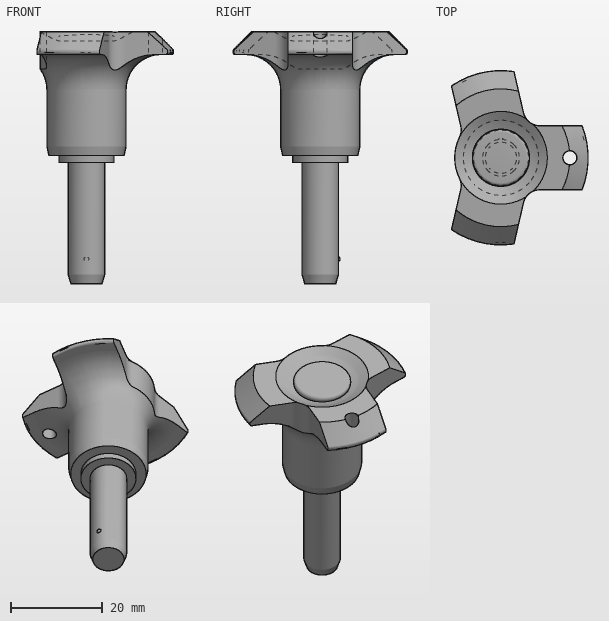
import math

import cadquery as cq


pin_radius = 4.0
pin_length = 26.4
tip_radius = 3.4
tip_height = 2.0
ball_radius = 0.55
ball_projection = 0.35
ball_height_above_tip = 5.4

collar_radius = 6.0
collar_height = 1.5
body_radius = 8.65
body_base_radius = 8.2
body_base_taper = 2.0
handle_height = 27.0
flare_radius = 7.6

arm_reach = 19.0
arm_half_width = 7.0
arm_thickness = 5.0
arm_spread = 103.0
arm_angles = (0.0, arm_spread, -arm_spread)
arm_bevel = 4.0
bevel_angle = 45.0
rim_fillet = 0.5
hub_radius = 10.1
valley_fillet = 3.6
lanyard_hole_diameter = 3.0
lanyard_hole_offset = 15.0

dish_radius = hub_radius
dish_cone_radius = 8.0
dish_cone_depth = 1.2
button_radius = 6.25
button_edge_roundness = 0.75
button_foot_angle = -30.0
button_edge_depth = 0.85
button_dome = 0.25

top_z = collar_height + handle_height
arm_bottom_z = top_z - arm_thickness
flare_bottom_z = arm_bottom_z - flare_radius
tip_z = -pin_length


def polar(radius, angle):
    """Point in the XY plane at a radius and an angle in degrees."""
    return radius * math.cos(math.radians(angle)), radius * math.sin(math.radians(angle))


def on_arc(center, radius, angle):
    """Point on a circle about a given center, at an angle in degrees."""
    dx, dy = polar(radius, angle)
    return center[0] + dx, center[1] + dy


def revolve_about_axis(profile):
    """Turn a closed radius/height profile on the XZ plane about the Z axis."""
    return profile.revolve(360, (0, 0), (0, 1))


def make_pin():
    pin = revolve_about_axis(
        cq.Workplane("XZ")
        .moveTo(0, tip_z)
        .lineTo(tip_radius, tip_z)
        .lineTo(pin_radius, tip_z + tip_height)
        .lineTo(pin_radius, 0)
        .lineTo(collar_radius, 0)
        .lineTo(collar_radius, collar_height)
        .lineTo(0, collar_height)
        .close()
    )
    ball_y = pin_radius + ball_projection - ball_radius
    ball = cq.Workplane("XY").sphere(ball_radius).translate((0, ball_y, tip_z + ball_height_above_tip))
    return pin.union(ball)


def make_body():
    return revolve_about_axis(
        cq.Workplane("XZ")
        .moveTo(0, collar_height)
        .lineTo(body_base_radius, collar_height)
        .lineTo(body_radius, collar_height + body_base_taper)
        .lineTo(body_radius, flare_bottom_z)
        .lineTo(0, flare_bottom_z)
        .close()
    )


def make_head_blank():
    """Round head: a flare widening to a thin plate, with a rounded rim and a bevelled edge."""
    flare_center = (body_radius + flare_radius, flare_bottom_z)
    rim_center_r = arm_reach - rim_fillet
    lower_center = (rim_center_r, arm_bottom_z + rim_fillet)
    bevel_foot_z = top_z - arm_bevel
    upper_center = (rim_center_r, bevel_foot_z - rim_fillet * math.tan(math.radians(bevel_angle / 2)))
    return revolve_about_axis(
        cq.Workplane("XZ")
        .moveTo(0, flare_bottom_z)
        .lineTo(body_radius, flare_bottom_z)
        .threePointArc(on_arc(flare_center, flare_radius, 135), on_arc(flare_center, flare_radius, 90))
        .lineTo(rim_center_r, arm_bottom_z)
        .threePointArc(on_arc(lower_center, rim_fillet, -45), on_arc(lower_center, rim_fillet, 0))
        .lineTo(*on_arc(upper_center, rim_fillet, 0))
        .threePointArc(
            on_arc(upper_center, rim_fillet, bevel_angle / 2),
            on_arc(upper_center, rim_fillet, bevel_angle),
        )
        .lineTo(arm_reach - arm_bevel / math.tan(math.radians(bevel_angle)), top_z)
        .lineTo(0, top_z)
        .close()
    )


def fillet_upright_edge(solid, point):
    """Round the upright edge that passes through an XY point."""
    margin = valley_fillet / 10
    low = (point[0] - margin, point[1] - margin, flare_bottom_z)
    high = (point[0] + margin, point[1] + margin, top_z)
    return solid.edges("|Z").edges(cq.selectors.BoxSelector(low, high)).fillet(valley_fillet)


def make_arm_outline():
    """Upright prism with the plan shape of the three arms and the hub."""
    head_height = top_z - flare_bottom_z
    arm_length = arm_reach + valley_fillet
    level = cq.Workplane("XY").workplane(offset=flare_bottom_z)
    outline = level.circle(arm_half_width).extrude(head_height)
    for angle in arm_angles:
        arm = level.center(arm_length / 2, 0).rect(arm_length, 2 * arm_half_width).extrude(head_height)
        outline = outline.union(arm.rotate((0, 0, 0), (0, 0, 1), angle))

    valley_angle = arm_spread / 2
    valley_distance = arm_half_width / math.sin(math.radians(valley_angle))
    for side in (1, -1):
        outline = fillet_upright_edge(outline, polar(valley_distance, side * valley_angle))

    hub = (
        level.moveTo(0, hub_radius)
        .threePointArc((-hub_radius, 0), (0, -hub_radius))
        .close()
        .extrude(head_height)
    )
    outline = outline.union(hub)
    hub_corner_angle = arm_spread + math.degrees(math.asin(arm_half_width / hub_radius))
    for side in (1, -1):
        outline = fillet_upright_edge(outline, polar(hub_radius, side * hub_corner_angle))
    return outline


def make_lanyard_hole():
    return (
        cq.Workplane("XY")
        .workplane(offset=flare_bottom_z)
        .center(lanyard_hole_offset, 0)
        .circle(lanyard_hole_diameter / 2)
        .extrude(top_z - flare_bottom_z)
    )


def make_dish():
    """Ring-shaped recess around the domed button, conical outside and curving flatter inside."""
    button_edge_z = top_z - button_edge_depth
    button_top_radius = button_radius - button_edge_roundness
    edge_center = (button_top_radius, button_edge_z - button_edge_roundness)
    edge_middle_angle = (90 + button_foot_angle) / 2
    dome_radius = (button_top_radius**2 + button_dome**2) / (2 * button_dome)
    dome_center = (0, button_edge_z + button_dome - dome_radius)
    dome_half_angle = math.degrees(math.asin(button_top_radius / dome_radius))
    return revolve_about_axis(
        cq.Workplane("XZ")
        .moveTo(0, top_z)
        .lineTo(dish_radius, top_z)
        .lineTo(dish_cone_radius, top_z - dish_cone_depth)
        .tangentArcPoint(on_arc(edge_center, button_edge_roundness, button_foot_angle), relative=False)
        .threePointArc(
            on_arc(edge_center, button_edge_roundness, edge_middle_angle),
            on_arc(edge_center, button_edge_roundness, 90),
        )
        .threePointArc(
            on_arc(dome_center, dome_radius, 90 - dome_half_angle / 2),
            (0, button_edge_z + button_dome),
        )
        .close()
    )


head = make_head_blank().intersect(make_arm_outline()).cut(make_lanyard_hole())
handle = make_body().union(head).cut(make_dish())
result = handle.union(make_pin())